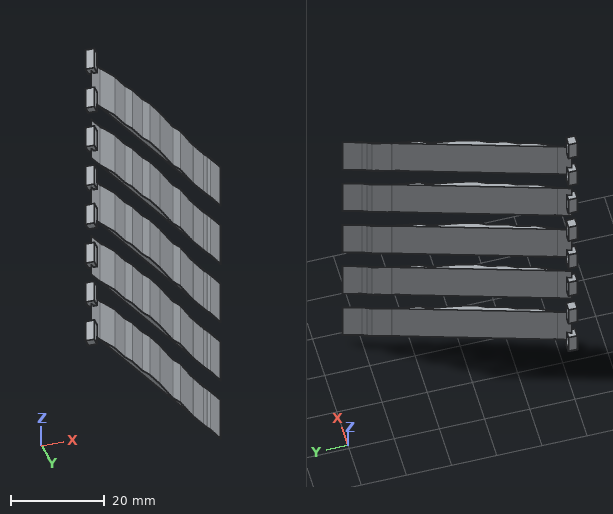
import cadquery as cq

TOTAL_HEIGHT = 75.0
LEAF_COUNT = 5
SLOTS_PER_LEAF = 3
LEAF_PITCH = TOTAL_HEIGHT / LEAF_COUNT

KNUCKLE_HEIGHT = LEAF_PITCH / SLOTS_PER_LEAF
STEPS_PER_KNUCKLE = 5
STEP = KNUCKLE_HEIGHT / STEPS_PER_KNUCKLE
KNUCKLE_SIDE = 2 * STEP
PIVOT = KNUCKLE_SIDE / 2

LEAF_HEIGHT = 2 * KNUCKLE_HEIGHT
LEAF_BASE = (LEAF_PITCH - LEAF_HEIGHT) / 2

ROOT = (1, 1)
TIP = (15, 48)
CREST_START = (12, 38)
CREST_TOP = (13, 42)
TIP_VALLEY = (14, 44)
FRONT_FACETS = [
    (2, 4), (4, 8), (5, 12), (6, 14), (7, 18),
    (8, 20), (9, 24), (10, 30), (11, 32),
]

CHORD_SLOPE = (TIP[1] - ROOT[1]) / (TIP[0] - ROOT[0])


def chord_y(x):
    """Y of the straight root-to-tip chord, in grid steps."""
    return ROOT[1] + CHORD_SLOPE * (x - ROOT[0])


def leaf_outline():
    """Closed leaf outline: front facets from root to tip, then back along the crest."""
    crest_slope = (TIP_VALLEY[1] - CREST_TOP[1]) / (TIP_VALLEY[0] - CREST_TOP[0])
    crest_rise = CREST_TOP[1] - chord_y(CREST_TOP[0])
    crest_end_x = CREST_TOP[0] + crest_rise / (CHORD_SLOPE - crest_slope)
    crest_end_y = chord_y(crest_end_x)

    web = CREST_START[1] - chord_y(CREST_START[0])
    crest_front = [
        (CREST_START[0], CREST_START[1] - web),
        (crest_end_x, crest_end_y - web),
    ]
    back = [(crest_end_x, crest_end_y), CREST_TOP, CREST_START]

    outline = [ROOT, *FRONT_FACETS, *crest_front, TIP_VALLEY, TIP, *back]
    return [(x * STEP, y * STEP) for x, y in outline]


def knuckle(base_z):
    """One square knuckle on the pivot line, standing on base_z."""
    return (
        cq.Workplane("XY", origin=(PIVOT, PIVOT, base_z))
        .rect(KNUCKLE_SIDE, KNUCKLE_SIDE)
        .extrude(KNUCKLE_HEIGHT)
    )


def hinge_leaf(index):
    """One leaf with its knuckles: even leaves carry the outer pair, odd ones the middle."""
    base_z = index * LEAF_PITCH
    leaf = (
        cq.Workplane("XY", origin=(0, 0, base_z + LEAF_BASE))
        .polyline(leaf_outline())
        .close()
        .extrude(LEAF_HEIGHT)
    )
    knuckle_slots = (0, SLOTS_PER_LEAF - 1) if index % 2 == 0 else (1,)
    for slot in knuckle_slots:
        leaf = leaf.union(knuckle(base_z + slot * KNUCKLE_HEIGHT))
    return leaf.solids().val()


hinge_leaves = [hinge_leaf(index) for index in range(LEAF_COUNT)]

result = cq.Compound.makeCompound([*hinge_leaves])